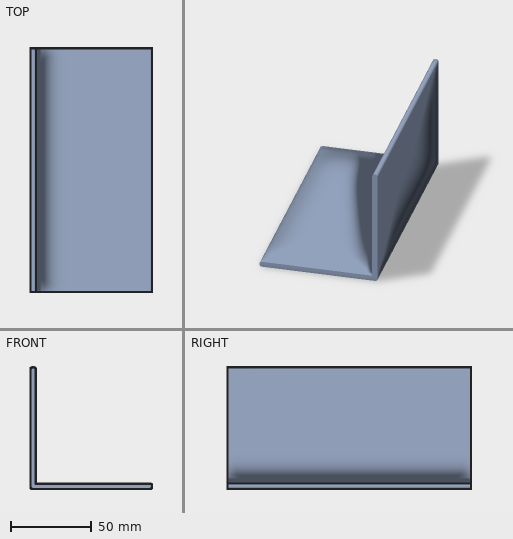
import cadquery as cq

length = 152.4
leg = 76.2
thickness = 3.5
edge_radius = 1.5

profile = [
    (0, 0),
    (leg, 0),
    (leg, thickness),
    (thickness, thickness),
    (thickness, leg),
    (0, leg),
]
angle = cq.Workplane("XZ").polyline(profile).close().extrude(-length)

for tip_face in (">X", ">Z"):
    angle = angle.faces(tip_face).edges("|Y").fillet(edge_radius)

heel = cq.selectors.NearestToPointSelector((0, length / 2, 0))
result = angle.edges("|Y").edges(heel).fillet(edge_radius)